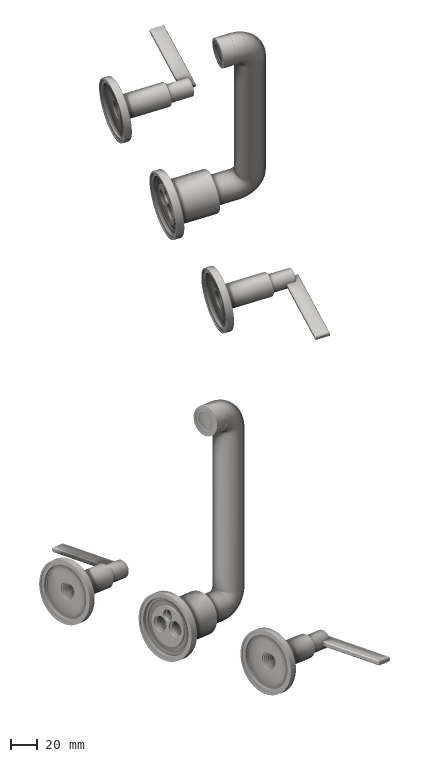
import cadquery as cq
import math

overall_width = 330.2
reach = 81.57
overall_height = 191.17

pipe_radius = 11.9
pipe_bore_radius = 10.2
bend_radius = 12.7
riser_y = reach - pipe_radius
bend_y = riser_y - bend_radius
pipe_socket_y = 30.0
spout_plate_radius = 26.75
spout_rise = overall_height - pipe_radius - spout_plate_radius

aerator_end_y = 44.3
aerator_seat_y = 53.7
groove_end_y = 54.8
groove_depth = 0.25
aerator_recesses = [(9.9, 0.5), (7.35, 1.2)]

spout_plate_thickness = 6.6
spout_plate_recess_radius = 22.9
spout_plate_recess_depth = 3.5
spout_plate_step_radius = 20.8
spout_plate_step_depth = 4.5
hub_radius = 17.4
hub_face_y = 2.7
hub_top_y = 39.2
hub_chamfer = 0.8
hub_spigot_radius = 16.1

port_offset_x = 7.6
port_steps = [(6.4, 2.0), (5.6, 8.0), (4.8, 12.0), (4.0, 15.0)]
port_radius = 3.2
screw_hole_z = 9.1
screw_hole_radius = 4.5
screw_hole_mouth_depth = 3.0
screw_pilot_radius = 3.2
screw_pilot_depth = 12.0

handle_spacing = 101.6
handle_plate_radius = 25.5
handle_plate_thickness = 6.0
handle_plate_recess_radius = 21.3
handle_plate_lip_radius = 20.6
handle_plate_lip_depth = 3.0
handle_plate_recess_depth = 3.5

plate_round = 0.8
plate_rim_width = 1.3
plate_rim_depth = 0.8

sleeve_radius = 9.6
sleeve_top_y = 44.5
sleeve_chamfer = 0.8
spline_teeth = 20
spline_root_radius = 7.9
spline_tip_radius = 9.0
bore_steps = [(7.0, 1.0), (6.0, 2.0), (5.0, 3.0), (4.0, 4.0), (3.0, 5.0), (2.0, 6.0), (1.2, 7.0)]

knob_radius = 7.2
knob_top_y = 63.3
knob_round = 0.8
knob_seat_depth = 4.0
lever_low_y = 55.7
lever_high_y = 67.3
lever_thickness = 4.0
lever_edge_chamfer = 0.7
lever_length = overall_width / 2 - handle_spacing


def disc(radius, start_y, end_y, x=0.0, z=0.0):
    """Cylinder along Y between two Y positions."""
    return cq.Workplane("XZ", origin=(x, start_y, z)).circle(radius).extrude(start_y - end_y)


def make_escutcheon(radius, thickness, recesses):
    """Round wall plate with a narrow rim and recesses in its wall side, each (radius, depth)."""
    plate = disc(radius, 0, thickness).faces(">Y").edges().fillet(plate_round)
    plate = plate.cut(disc(radius - plate_rim_width, 0, plate_rim_depth))
    for recess_radius, depth in recesses:
        plate = plate.cut(disc(recess_radius, 0, depth))
    return plate


def spout_rod(radius, start_y, end_y):
    """Round rod following the spout centreline: out, up the riser and back to the outlet."""
    bend_middle = bend_radius * math.sqrt(0.5)
    top_bend_z = spout_rise - bend_radius
    path = (
        cq.Workplane("YZ")
        .moveTo(start_y, 0)
        .lineTo(bend_y, 0)
        .threePointArc((bend_y + bend_middle, bend_radius - bend_middle), (riser_y, bend_radius))
        .lineTo(riser_y, top_bend_z)
        .threePointArc((bend_y + bend_middle, top_bend_z + bend_middle), (bend_y, spout_rise))
        .lineTo(end_y, spout_rise)
    )
    return cq.Workplane("XZ", origin=(0, start_y, 0)).circle(radius).sweep(path)


def make_pipe():
    pipe = spout_rod(pipe_radius, pipe_socket_y, aerator_seat_y)
    groove = disc(pipe_radius + groove_depth, aerator_seat_y, groove_end_y, z=spout_rise)
    groove = groove.cut(disc(pipe_radius - groove_depth, aerator_seat_y, groove_end_y, z=spout_rise))
    return pipe.cut(spout_rod(pipe_bore_radius, pipe_socket_y, aerator_seat_y)).cut(groove)


def make_aerator():
    aerator = disc(pipe_radius, aerator_end_y, aerator_seat_y, z=spout_rise)
    for radius, depth in aerator_recesses:
        aerator = aerator.cut(disc(radius, aerator_end_y, aerator_end_y + depth, z=spout_rise))
    return aerator


def make_hub():
    """Cylinder holding the pipe, with two stepped water ports and a screw hole at the wall end."""
    hub = disc(hub_radius, spout_plate_thickness, hub_top_y).faces(">Y").edges().chamfer(hub_chamfer)
    hub = hub.union(disc(hub_spigot_radius, hub_face_y, spout_plate_thickness))
    hub = hub.cut(disc(pipe_radius, pipe_socket_y, hub_top_y))
    for side in (-1, 1):
        x = side * port_offset_x
        hub = hub.cut(disc(port_radius, hub_face_y, pipe_socket_y, x=x))
        for radius, depth in port_steps:
            hub = hub.cut(disc(radius, hub_face_y, hub_face_y + depth, x=x))
    hub = hub.cut(disc(screw_hole_radius, hub_face_y, hub_face_y + screw_hole_mouth_depth, z=screw_hole_z))
    pilot_end_y = hub_face_y + screw_pilot_depth
    hub = hub.cut(disc(screw_pilot_radius, hub_face_y, pilot_end_y, z=screw_hole_z))
    point = cq.Solid.makeCone(
        screw_pilot_radius, 0, screw_pilot_radius, cq.Vector(0, pilot_end_y, screw_hole_z), cq.Vector(0, 1, 0)
    )
    return hub.cut(cq.Workplane(point))


def make_spline():
    """Toothed spigot that fills the splined hole in the floor of the handle escutcheon."""
    floor_thickness = handle_plate_thickness - handle_plate_recess_depth
    tooth_width = math.pi * spline_tip_radius / spline_teeth
    teeth = (
        cq.Workplane("XZ", origin=(0, handle_plate_recess_depth, 0))
        .polarArray(spline_tip_radius / 2, 0, 360, spline_teeth)
        .rect(spline_tip_radius, tooth_width)
        .extrude(-floor_thickness)
    )
    return disc(spline_root_radius, handle_plate_recess_depth, handle_plate_thickness).union(teeth)


def make_sleeve():
    """Handle sleeve standing on its escutcheon, keyed into it by the spline, with a stepped blind bore."""
    mouth_y = handle_plate_recess_depth
    sleeve = disc(sleeve_radius, handle_plate_thickness, sleeve_top_y)
    sleeve = sleeve.faces(">Y").edges().chamfer(sleeve_chamfer)
    sleeve = sleeve.cut(disc(knob_radius, sleeve_top_y - knob_seat_depth, sleeve_top_y))
    sleeve = sleeve.union(make_spline())
    for radius, depth in bore_steps:
        sleeve = sleeve.cut(disc(radius, mouth_y, mouth_y + depth))
    return sleeve


def make_lever(side):
    """Round knob with a flat blade reaching outwards from its axis."""
    knob = disc(knob_radius, sleeve_top_y - knob_seat_depth, knob_top_y)
    knob = knob.faces(">Y").edges().fillet(knob_round)
    blade = (
        cq.Workplane("XY")
        .box(lever_length, lever_high_y - lever_low_y, lever_thickness)
        .edges("|X or |Y")
        .chamfer(lever_edge_chamfer)
        .translate((side * lever_length / 2, (lever_low_y + lever_high_y) / 2, 0))
    )
    return knob.union(blade)


def make_spout_plate():
    recesses = [
        (spout_plate_recess_radius, spout_plate_recess_depth),
        (spout_plate_step_radius, spout_plate_step_depth),
    ]
    plate = make_escutcheon(spout_plate_radius, spout_plate_thickness, recesses)
    return plate.cut(disc(hub_spigot_radius, 0, spout_plate_thickness))


def make_handle_plate():
    recesses = [
        (handle_plate_recess_radius, handle_plate_lip_depth),
        (handle_plate_lip_radius, handle_plate_recess_depth),
    ]
    plate = make_escutcheon(handle_plate_radius, handle_plate_thickness, recesses)
    return plate.cut(make_spline())


spout_plate = make_spout_plate()
hub = make_hub()
pipe = make_pipe()
aerator = make_aerator()
bodies = [spout_plate.val(), hub.val(), pipe.val(), aerator.val()]

for side in (-1, 1):
    handle_place = (side * handle_spacing, 0, 0)
    for body in (make_handle_plate(), make_sleeve(), make_lever(side)):
        bodies.append(body.translate(handle_place).val())

result = cq.Compound.makeCompound(bodies)